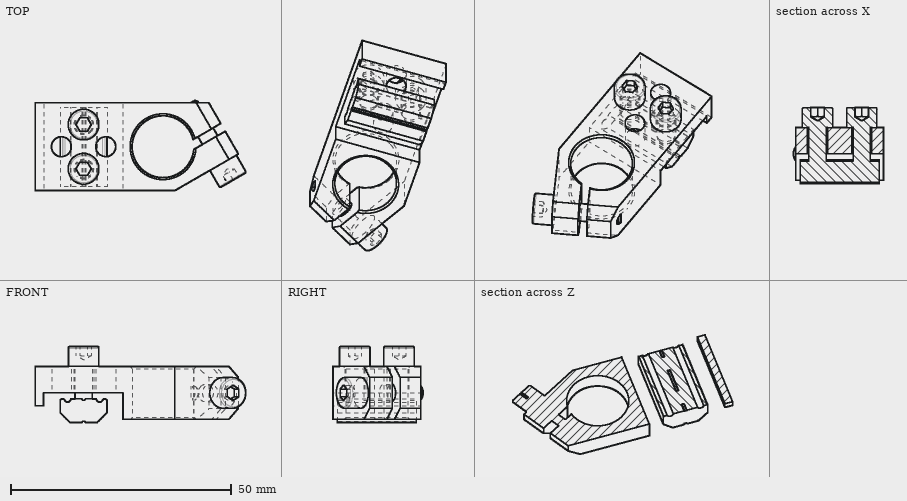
import cadquery as cq
import math


WIDTH = 20.0
HEIGHT = 12.0
RAIL_START = 1.9
RAIL_END = 19.95
RAIL_DEPTH = 5.95
HOOK_DEPTH = 8.95

BORE_X = 29.0
BORE_DIAMETER = 14.0
BORE_CHAMFER = 0.5
JAW_ANGLE = 30
JAW_LENGTH = 14.0
JAW_CHAMFER = 2.5
SPLIT_OFFSET = 3.0
SPLIT_WIDTH = 2.0

HOLE_CENTER_X = 11.0
HOLE_RADIUS_FROM_CENTER = 5.0
HOLE_DIAMETER = 4.5

HEAD_DIAMETER = 7.0
HEAD_HEIGHT = 4.55
HEAD_FILLET = 0.4
SHANK_DIAMETER = 4.0
TIP_CHAMFER = 0.5
HEX_ACROSS_FLATS = 3.0
HEX_DEPTH = 2.0
SOCKET_CONE_ANGLE = 120
MOUNT_SHANK_LENGTH = 11.0
CLAMP_SHANK_LENGTH = 15.5
CLAMP_SCREW_OFFSET = 10.0

NUT_TOP = -7.35
NUT_WIDTH = 10.7
NUT_HEIGHT = 5.4
NUT_LENGTH = 17.95
NUT_BEVEL = 2.3
GROOVE_OFFSET = 3.65
GROOVE_RADIUS = 0.7
EAR_FILLET = 0.53
NOTCH_TOP_WIDTH = 0.95
NOTCH_FLOOR_WIDTH = 0.5
NOTCH_DEPTH = 0.3

HALF_WIDTH = WIDTH / 2
JAW_SIN = math.sin(math.radians(JAW_ANGLE))
JAW_COS = math.cos(math.radians(JAW_ANGLE))
JAW_DIRECTION = cq.Vector(JAW_COS, JAW_SIN, 0)
ACROSS_JAWS = cq.Vector(-JAW_SIN, JAW_COS, 0)
BORE_CENTER = cq.Vector(BORE_X, 0, 0)


def make_hex_socket():
    """Hexagonal socket with a conical floor, opening upward at Z = 0."""
    corner_diameter = HEX_ACROSS_FLATS / math.cos(math.radians(30))
    corner_radius = corner_diameter / 2
    cone_height = corner_radius / math.tan(math.radians(SOCKET_CONE_ANGLE / 2))
    full_depth = HEX_DEPTH + cone_height
    drill = (
        cq.Workplane("XZ")
        .moveTo(0, 0)
        .lineTo(corner_radius, 0)
        .lineTo(corner_radius, -HEX_DEPTH)
        .lineTo(0, -full_depth)
        .close()
        .revolve(360, (0, 0, 0), (0, 1, 0))
    )
    hexagon = cq.Workplane("XY").polygon(6, corner_diameter).extrude(-full_depth)
    return hexagon.intersect(drill)


def make_screw(shank_length):
    """Upright socket head screw, its head resting on Z = 0."""
    head = cq.Workplane("XY").circle(HEAD_DIAMETER / 2).extrude(HEAD_HEIGHT)
    head = head.faces(">Z").edges().fillet(HEAD_FILLET)
    head = head.cut(make_hex_socket().translate((0, 0, HEAD_HEIGHT)))
    shank = cq.Workplane("XY").circle(SHANK_DIAMETER / 2).extrude(-shank_length)
    shank = shank.faces("<Z").edges().chamfer(TIP_CHAMFER)
    return head.union(shank)


def make_block():
    """Block whose right end is turned to the jaw angle, with the rail channel below."""
    bend_x = BORE_X + HALF_WIDTH * math.tan(math.radians(JAW_ANGLE / 2))
    top_corner_x = BORE_X + (JAW_LENGTH - HALF_WIDTH * JAW_SIN) / JAW_COS
    end_corner = BORE_CENTER + JAW_DIRECTION * JAW_LENGTH - ACROSS_JAWS * HALF_WIDTH
    outline = [
        (0, -HALF_WIDTH),
        (bend_x, -HALF_WIDTH),
        (end_corner.x, end_corner.y),
        (top_corner_x, HALF_WIDTH),
        (0, HALF_WIDTH),
    ]
    block = cq.Workplane("XY").polyline(outline).close().extrude(-HEIGHT)
    jaw_end = cq.DirectionMinMaxSelector(JAW_DIRECTION)
    block = block.faces(jaw_end).edges("not |Z").chamfer(JAW_CHAMFER)

    channel = (
        cq.Workplane("XZ")
        .moveTo(0, -HEIGHT)
        .lineTo(0, -HOOK_DEPTH)
        .lineTo(RAIL_START, -HOOK_DEPTH)
        .lineTo(RAIL_START, -RAIL_DEPTH)
        .lineTo(RAIL_END, -RAIL_DEPTH)
        .lineTo(RAIL_END, -HEIGHT)
        .close()
        .extrude(HALF_WIDTH, both=True)
    )
    return block.cut(channel)


def make_rod_bore():
    """Through bore, chamfered at both mouths."""
    radius = BORE_DIAMETER / 2
    mouth_radius = radius + BORE_CHAMFER
    return (
        cq.Workplane("XZ")
        .moveTo(0, 0)
        .lineTo(mouth_radius, 0)
        .lineTo(radius, -BORE_CHAMFER)
        .lineTo(radius, BORE_CHAMFER - HEIGHT)
        .lineTo(mouth_radius, -HEIGHT)
        .lineTo(0, -HEIGHT)
        .close()
        .revolve(360, (0, 0, 0), (0, 1, 0))
        .translate(BORE_CENTER)
    )


def make_split():
    """Slot that runs from the bore out through the end face of the jaws."""
    return (
        cq.Workplane("XY")
        .box(JAW_LENGTH, SPLIT_WIDTH, HEIGHT, centered=(False, True, False))
        .translate((0, -SPLIT_OFFSET, -HEIGHT))
        .rotate((0, 0, 0), (0, 0, 1), JAW_ANGLE)
        .translate(BORE_CENTER)
    )


def make_mounting_holes():
    return (
        cq.Workplane("XY")
        .center(HOLE_CENTER_X, 0)
        .polarArray(HOLE_RADIUS_FROM_CENTER, 0, 360, 4)
        .circle(HOLE_DIAMETER / 2)
        .extrude(-RAIL_DEPTH)
    )


def make_clamp_screw():
    """Screw across the jaws, its head seated on their lower side."""
    seat = BORE_CENTER + JAW_DIRECTION * CLAMP_SCREW_OFFSET - ACROSS_JAWS * HALF_WIDTH
    seat_plane = cq.Plane(
        origin=(seat.x, seat.y, -HEIGHT / 2),
        xDir=(0, 0, 1),
        normal=(-ACROSS_JAWS).toTuple(),
    )
    return cq.Workplane(make_screw(CLAMP_SHANK_LENGTH).val().moved(cq.Location(seat_plane)))


def make_clamp():
    clamp = make_block().cut(make_rod_bore()).cut(make_split()).cut(make_mounting_holes())
    return clamp.union(make_clamp_screw())


def make_notch():
    """Shallow centring notch along Y, cut down from Z = 0."""
    return (
        cq.Workplane("XZ")
        .moveTo(-NOTCH_TOP_WIDTH / 2, 0)
        .lineTo(NOTCH_TOP_WIDTH / 2, 0)
        .lineTo(NOTCH_FLOOR_WIDTH / 2, -NOTCH_DEPTH)
        .lineTo(-NOTCH_FLOOR_WIDTH / 2, -NOTCH_DEPTH)
        .close()
        .extrude(NUT_LENGTH / 2, both=True)
    )


def make_nut():
    """T-slot nut centred on X = 0, its top at Z = 0."""
    nut = cq.Workplane("XY").box(NUT_WIDTH, NUT_LENGTH, NUT_HEIGHT, centered=(True, True, False))
    nut = nut.translate((0, 0, -NUT_HEIGHT))
    nut = nut.faces("<Z").edges("|Y").chamfer(NUT_BEVEL)

    grooves = (
        cq.Workplane("XZ")
        .pushPoints([(-GROOVE_OFFSET, 0), (GROOVE_OFFSET, 0)])
        .circle(GROOVE_RADIUS)
        .extrude(NUT_LENGTH / 2, both=True)
    )
    nut = nut.cut(grooves)
    nut = nut.faces(">Z").faces("<X or >X").edges("|Y").fillet(EAR_FILLET)

    top_notch = make_notch()
    bottom_notch = make_notch().mirror("XY").translate((0, 0, -NUT_HEIGHT))
    return nut.cut(top_notch).cut(bottom_notch)


def make_nut_assembly():
    """Nut joined to the two screws whose heads rest on the clamp's top face."""
    assembly = make_nut().translate((HOLE_CENTER_X, 0, NUT_TOP))
    for side in (-1, 1):
        screw = make_screw(MOUNT_SHANK_LENGTH)
        screw = screw.translate((HOLE_CENTER_X, side * HOLE_RADIUS_FROM_CENTER, 0))
        assembly = assembly.union(screw)
    return assembly


clamp = make_clamp()
fastening_nut = make_nut_assembly()

result = cq.Compound.makeCompound([clamp.val(), fastening_nut.val()])